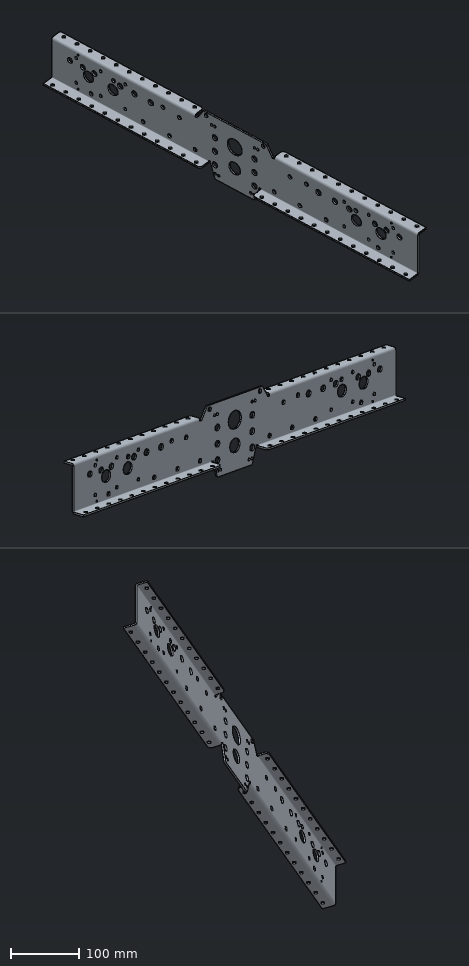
import cadquery as cq
import math


LENGTH = 711.0
DEPTH = 38.5
HEIGHT = 116.5

THICKNESS = 3.2
BEND_INNER_RADIUS = 1.3
BEND_OUTER_RADIUS = BEND_INNER_RADIUS + THICKNESS
WEB_FRONT = -0.35
WEB_BACK = WEB_FRONT + THICKNESS

END = LENGTH / 2
ARM_TOP = 43.5
ARM_BOTTOM = -35.0
ARM_WEB_TOP = ARM_TOP - BEND_OUTER_RADIUS
ARM_WEB_BOTTOM = ARM_BOTTOM + BEND_OUTER_RADIUS

TOP_FLANGE_START = 77.0
BOTTOM_FLANGE_START = 50.5
FLANGE_CORNER = 6.0

PLATE_TOP = HEIGHT / 2
PLATE_BOTTOM = -HEIGHT / 2
TOP_TIP_HALF_WIDTH = 61.0
TOP_ROOT_HALF_WIDTH = 73.0
BOTTOM_TIP_HALF_WIDTH = 38.5
BOTTOM_ROOT_HALF_WIDTH = 48.0
TIP_RADIUS = 3.0

FLANGE_HOLE_DIAMETER = 5.3
PITCHES_PER_LENGTH = 28
FLANGE_HOLE_PITCH = LENGTH / PITCHES_PER_LENGTH
FLANGE_HOLE_END_MARGIN = FLANGE_HOLE_PITCH / 2
FLANGE_HOLE_EDGE_MARGIN = 6.5
TOP_FLANGE_HOLE_COUNT = 11
BOTTOM_FLANGE_HOLE_COUNT = 12

CENTRE_HOLES = [(28.5, 21.0), (22.0, -18.5)]

GEARBOX_X = 260.0
GEARBOX_PITCH = 48.0
BORE_DIAMETER = 19.0
BORE_Z = 6.5
GEARBOX_SCREW_DIAMETER = 5.05
GEARBOX_SCREW_TOP = 29.0
GEARBOX_SCREW_BOTTOM = -17.0

COLUMN_X = 38.5
COLUMN_TOP = 19.0
COLUMN_PITCH = FLANGE_HOLE_PITCH
COLUMN_COUNT = 3
COLUMN_DIAMETER = 10.0

SIDE_HOLES = [
    (2.55, [(304.5, 36.0), (304.5, -28.0)]),
    (4.05, [(38.5, 40.0), (45.0, 40.0)]),
    (4.05, [(31.0, -48.5), (38.0, -48.5)]),
    (6.7, [(55.5, 52.0)]),
    (6.7, [(107.5, 21.0)]),
    (6.8, [(139.5, 24.0), (235.5, 24.0)]),
    (6.8, [(77.0, -23.0), (126.5, -23.0), (178.0, -23.0), (279.0, -23.0)]),
    (9.0, [(320.0, 18.5), (295.0, 18.5), (272.5, 18.5)]),
    (10.0, [(163.0, 20.5), (195.0, 20.5), (222.5, 20.5)]),
]


def make_web():
    """Flat web: both arms and the middle plate, without the bends."""
    right_side = [
        (TOP_TIP_HALF_WIDTH, PLATE_TOP),
        (TOP_ROOT_HALF_WIDTH, ARM_WEB_TOP),
        (END, ARM_WEB_TOP),
        (END, ARM_WEB_BOTTOM),
        (BOTTOM_ROOT_HALF_WIDTH, ARM_WEB_BOTTOM),
        (BOTTOM_TIP_HALF_WIDTH, PLATE_BOTTOM),
    ]
    left_side = [(-x, z) for x, z in reversed(right_side)]
    web = (
        cq.Workplane("XZ", origin=(0, WEB_BACK, 0))
        .polyline(right_side + left_side)
        .close()
        .extrude(THICKNESS)
    )
    return web.edges("|Y and (>Z or <Z)").fillet(TIP_RADIUS)


def make_flange(start, root_z, edge_z, web_outer, web_inner, tip_y):
    """Right-hand bend and flange, from X = start to the end of the rail.

    The bend starts on the web at root_z. Its convex side runs from the web face web_outer
    to the flange face edge_z, and its concave side from the web face web_inner.
    """
    up = 1 if edge_z > root_z else -1
    out = 1 if tip_y > web_outer else -1
    centre_y = web_outer + out * BEND_OUTER_RADIUS
    diagonal = math.sqrt(0.5)

    def mid_arc(radius):
        return (centre_y - out * radius * diagonal, root_z + up * radius * diagonal)

    flange = (
        cq.Workplane("YZ", origin=(start, 0, 0))
        .moveTo(web_outer, root_z)
        .threePointArc(mid_arc(BEND_OUTER_RADIUS), (centre_y, edge_z))
        .lineTo(tip_y, edge_z)
        .lineTo(tip_y, edge_z - up * THICKNESS)
        .lineTo(centre_y, edge_z - up * THICKNESS)
        .threePointArc(mid_arc(BEND_INNER_RADIUS), (web_inner, root_z))
        .close()
        .extrude(END - start)
    )
    tip_side = ">Y" if out > 0 else "<Y"
    return flange.faces(tip_side).edges("|Z and <X").fillet(FLANGE_CORNER)


def mirrored(points):
    """The points and their mirror images across X = 0."""
    return points + [(-x, z) for x, z in points]


def web_holes(diameter, points):
    """Pins that cut through the web along Y."""
    return (
        cq.Workplane("XZ", origin=(0, WEB_BACK, 0))
        .pushPoints(points)
        .circle(diameter / 2)
        .extrude(THICKNESS)
    )


def flange_holes(count, y, edge_z, inward):
    """Pins that cut through one pair of flanges along Z, from the face at edge_z."""
    first_x = END - FLANGE_HOLE_END_MARGIN
    points = [(first_x - i * FLANGE_HOLE_PITCH, y) for i in range(count)]
    return (
        cq.Workplane("XY", origin=(0, 0, edge_z))
        .pushPoints(mirrored(points))
        .circle(FLANGE_HOLE_DIAMETER / 2)
        .extrude(inward * THICKNESS)
    )


top_flange = make_flange(TOP_FLANGE_START, ARM_WEB_TOP, ARM_TOP, WEB_FRONT, WEB_BACK, DEPTH / 2)
bottom_flange = make_flange(
    BOTTOM_FLANGE_START, ARM_WEB_BOTTOM, ARM_BOTTOM, WEB_BACK, WEB_FRONT, -DEPTH / 2
)
result = make_web()
for flange in (top_flange, bottom_flange):
    result = result.union(flange).union(flange.mirror("YZ"))

flange_hole_y = DEPTH / 2 - FLANGE_HOLE_EDGE_MARGIN
result = result.cut(flange_holes(TOP_FLANGE_HOLE_COUNT, flange_hole_y, ARM_TOP, -1))
result = result.cut(flange_holes(BOTTOM_FLANGE_HOLE_COUNT, -flange_hole_y, ARM_BOTTOM, 1))

for diameter, z in CENTRE_HOLES:
    result = result.cut(web_holes(diameter, [(0, z)]))

bores = [(GEARBOX_X + side * GEARBOX_PITCH / 2, BORE_Z) for side in (-1, 1)]
screws = [
    (GEARBOX_X + i * GEARBOX_PITCH, z)
    for i in (-1, 0, 1)
    for z in (GEARBOX_SCREW_TOP, GEARBOX_SCREW_BOTTOM)
]
result = result.cut(web_holes(BORE_DIAMETER, mirrored(bores)))
result = result.cut(web_holes(GEARBOX_SCREW_DIAMETER, mirrored(screws)))

column = [(COLUMN_X, COLUMN_TOP - i * COLUMN_PITCH) for i in range(COLUMN_COUNT)]
result = result.cut(web_holes(COLUMN_DIAMETER, mirrored(column)))
for diameter, points in SIDE_HOLES:
    result = result.cut(web_holes(diameter, mirrored(points)))